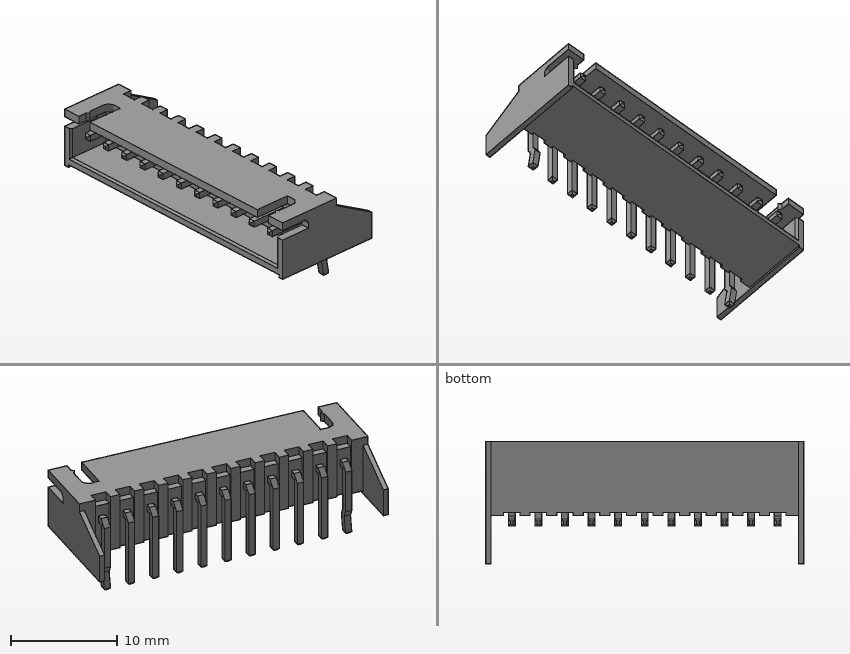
import cadquery as cq

length = 29.9
height = 6.1
body_depth = 6.97
underside = 0.3
roof_thickness = 0.85
roof_underside = height - roof_thickness

ear_thickness = 0.5
ear_back = 11.5
ear_back_height = 2.8

side_wall = 0.87
floor_top = 1.15
cavity_depth = 4.48
lead_in = 0.2

side_slot_bottom = 4.25
side_slot_depth = 3.35
side_slot_radius = 0.6

key_outer = 1.95
key_width = 1.52
key_depth = 3.9
key_radius = 0.75
key_ridge = 0.27
key_ridge_y = 1.17

pin_count = 11
pin_pitch = 2.5
pin_size = 0.65
pin_z = 3.8
pin_front = 0.48
pin_back = 7.95
pin_bottom = -3.4
tip_length = 0.2
tip_size = 0.27
bend_chamfer = 0.72
kink_start = -0.9
kink_peak = -1.52
kink_offset = 0.3

notch_width = 1.52
notch_depth = 1.0
notch_lower_depth = 0.27

row_start = (length - (pin_count - 1) * pin_pitch) / 2
pin_positions = [row_start + i * pin_pitch for i in range(pin_count)]


def block(x, y, z):
    """Box given by its (low, high) limits along each axis."""
    return cq.Workplane("XY").box(x[1] - x[0], y[1] - y[0], z[1] - z[0], centered=False).translate(
        (x[0], y[0], z[0])
    )


def mirrored(shape):
    """The shape together with its mirror image about the middle of the row."""
    return shape.union(shape.mirror("YZ", (length / 2, 0, 0)))


def end_wall():
    return (
        cq.Workplane("YZ")
        .moveTo(0, 0)
        .lineTo(ear_back, 0)
        .lineTo(ear_back, ear_back_height)
        .lineTo(body_depth, roof_underside)
        .lineTo(body_depth, height)
        .lineTo(0, height)
        .close()
        .extrude(ear_thickness)
    )


def cavity():
    pocket = block((side_wall, length - side_wall), (0, cavity_depth), (floor_top, roof_underside))
    bevel = (
        cq.Workplane("XZ")
        .polyline(cavity_opening(lead_in))
        .close()
        .workplane(offset=-lead_in)
        .polyline(cavity_opening(0))
        .close()
        .loft(ruled=True)
    )
    return pocket.union(bevel)


def cavity_opening(growth):
    """Corners of the cavity mouth, with its sides and floor moved outward by growth."""
    left = side_wall - growth
    right = length - left
    bottom = floor_top - growth
    return [(left, bottom), (right, bottom), (right, roof_underside), (left, roof_underside)]


def side_slot():
    slot = block((0, side_wall), (0, side_slot_depth), (side_slot_bottom, roof_underside))
    return slot.edges("|X and >Y and >Z").fillet(side_slot_radius)


def key_slot():
    slot = block((key_outer, key_outer + key_width), (0, key_depth), (roof_underside, height))
    slot = slot.edges("|Z and <X and >Y").fillet(key_radius)
    ridge = (
        cq.Workplane("XY", origin=(key_outer, key_ridge_y, roof_underside))
        .polyline([(0, -key_ridge), (key_ridge, 0), (0, key_ridge)])
        .close()
        .extrude(roof_thickness)
    )
    return slot.cut(ridge)


def back_notch(x):
    """Stepped notch: deep through the roof, shallow from there down to the underside."""
    sides = (x - notch_width / 2, x + notch_width / 2)
    upper = block(sides, (body_depth - notch_depth, body_depth), (roof_underside, height))
    lower = block(sides, (body_depth - notch_lower_depth, body_depth), (underside, height))
    return upper.union(lower)


def pin(x, kinked):
    """Bent square pin; a kinked one has a leg that bows forward to grip the board."""
    shoulder_front = pin_front + tip_length
    shoulder_bottom = pin_bottom + tip_length
    leg_front = pin_back - pin_size
    top = pin_z + pin_size / 2
    bottom = pin_z - pin_size / 2
    bow = kink_offset if kinked else 0
    bar = (
        cq.Workplane("YZ", origin=(x - pin_size / 2, 0, 0))
        .moveTo(shoulder_front, top)
        .lineTo(pin_back - bend_chamfer, top)
        .lineTo(pin_back, top - bend_chamfer)
        .lineTo(pin_back, kink_start)
        .lineTo(pin_back - bow, kink_peak)
        .lineTo(pin_back, shoulder_bottom)
        .lineTo(leg_front, shoulder_bottom)
        .lineTo(leg_front - bow, kink_peak)
        .lineTo(leg_front, kink_start)
        .lineTo(leg_front, bottom)
        .lineTo(shoulder_front, bottom)
        .close()
        .extrude(pin_size)
    )
    front_tip = taper(cq.Workplane("XZ", origin=(x, shoulder_front, pin_z)))
    leg_center = pin_back - pin_size / 2
    leg_tip = taper(cq.Workplane("XY", origin=(x, leg_center, shoulder_bottom)), -1)
    return bar.union(front_tip).union(leg_tip)


def taper(plane, direction=1):
    """Blunt square point growing from the plane along its normal, or against it for -1."""
    return (
        plane.rect(pin_size, pin_size)
        .workplane(offset=direction * tip_length)
        .rect(tip_size, tip_size)
        .loft(ruled=True)
    )


body = block((0, length), (0, body_depth), (underside, height))
body = body.union(mirrored(end_wall()))
body = body.cut(cavity())
body = body.cut(mirrored(side_slot()))
body = body.cut(mirrored(key_slot()))

for x in pin_positions:
    body = body.cut(back_notch(x))

for x in pin_positions:
    is_end_pin = x in (pin_positions[0], pin_positions[-1])
    body = body.union(pin(x, is_end_pin))

result = body